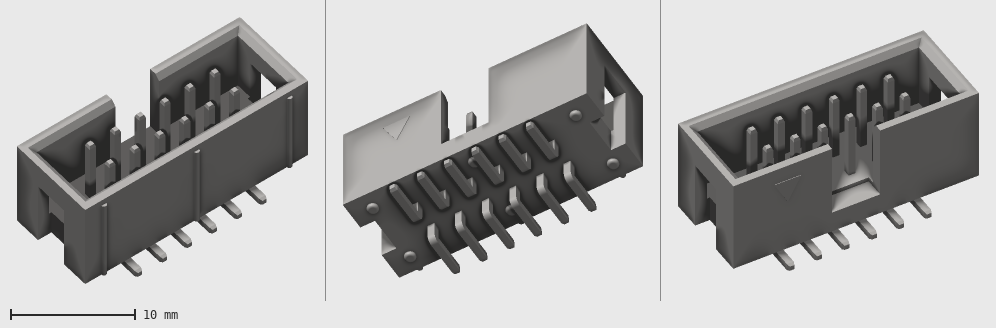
import cadquery as cq


length = 22.75
width = 8.85
height = 8.75
floor_top = 2.39
side_wall = 1.15
end_wall = 1.11

lead_in_depth = 0.48
side_rim = 0.68
end_rim = 0.6

end_slot_width = 3.35
end_slot_height = 6.37
end_slot_depth = 1.36
key_width = 4.45
key_bottom = 1.98
key_depth = 1.85

mark_width = 2.5
mark_height = 2.27
mark_top = height - 1.5
mark_relief = 0.05

support_spacing = 9.45
rib_radius = 0.25
rib_height = height - 0.61
standoff_x = 5.85 / 2
standoff_radius = 0.5
standoff_height = 0.35
standoff_rounding = 0.23

pin_rows = 6
row_span = 12.7
pitch = row_span / (pin_rows - 1)
pin_size = 0.64
pin_top = height - 0.35
foot_bottom = -1.86
foot_reach = 10.3 / 2
bend_radius = pin_size
tip_length = 0.3
tip_inset = 0.102


def box_between(x_range, y_range, z_range):
    """Axis-aligned box from its limits along X, Y and Z."""
    sizes = [high - low for low, high in (x_range, y_range, z_range)]
    corner = (x_range[0], y_range[0], z_range[0])
    return cq.Workplane("XY").box(*sizes, centered=False).translate(corner)


def make_housing():
    """Open-topped box with a sloped lead-in around its mouth."""
    body = cq.Workplane("XY").box(width, length, height, centered=(True, True, False))
    inner_width = width - 2 * side_wall
    inner_length = length - 2 * end_wall
    cavity = (
        cq.Workplane("XY", origin=(0, 0, floor_top))
        .rect(inner_width, inner_length)
        .extrude(height - floor_top)
    )
    lead_in = (
        cq.Workplane("XY", origin=(0, 0, height - lead_in_depth))
        .rect(inner_width, inner_length)
        .workplane(offset=lead_in_depth)
        .rect(width - 2 * side_rim, length - 2 * end_rim)
        .loft(ruled=True)
    )
    return body.cut(cavity).cut(lead_in)


def make_end_slot(end):
    """Slot through one end wall, also biting into the end of the floor."""
    y_limits = sorted((end * length / 2, end * (length / 2 - end_slot_depth)))
    return box_between((-end_slot_width / 2, end_slot_width / 2), y_limits, (0, end_slot_height))


def make_key_notch():
    """Polarizing notch through the -X wall, sunk a little into the floor."""
    return box_between(
        (-width / 2, -width / 2 + key_depth),
        (-key_width / 2, key_width / 2),
        (key_bottom, height),
    )


def make_pin_one_mark():
    """Raised triangle pointing down at the first pin row."""
    center_y = row_span / 2
    return (
        cq.Workplane("YZ", origin=(-width / 2, 0, 0))
        .moveTo(center_y - mark_width / 2, mark_top)
        .lineTo(center_y + mark_width / 2, mark_top)
        .lineTo(center_y, mark_top - mark_height)
        .close()
        .extrude(-mark_relief)
    )


def make_rib(y):
    """Half-round vertical rib on the +X side, its other half inside the wall."""
    return cq.Workplane("XY").center(width / 2, y).circle(rib_radius).extrude(rib_height)


def make_standoff(x, y):
    """Short round foot with a rounded lower edge."""
    return (
        cq.Workplane("XY")
        .center(x, y)
        .circle(standoff_radius)
        .extrude(-standoff_height)
        .faces("<Z")
        .edges()
        .fillet(standoff_rounding)
    )


def make_tip(plane):
    """Tapered square tip growing from the given plane."""
    tip_size = pin_size - 2 * tip_inset
    return (
        cq.Workplane(plane)
        .rect(pin_size, pin_size)
        .workplane(offset=tip_length)
        .rect(tip_size, tip_size)
        .loft(ruled=True)
    )


def make_pin():
    """Bent pin of the +X column, at Y = 0, with its foot pointing to +X."""
    inner_x = (pitch - pin_size) / 2
    outer_x = inner_x + pin_size
    foot_top = foot_bottom + pin_size
    foot_end = foot_reach - tip_length
    post_end = pin_top - tip_length
    stem = box_between((inner_x, outer_x), (-pin_size / 2, pin_size / 2), (foot_bottom, post_end))
    foot = box_between((inner_x, foot_end), (-pin_size / 2, pin_size / 2), (foot_bottom, foot_top))
    bent = stem.union(foot).edges("|Y and <X and <Z").fillet(bend_radius)
    post_plane = cq.Plane(origin=(pitch / 2, 0, post_end))
    foot_center_z = (foot_bottom + foot_top) / 2
    foot_plane = cq.Plane(origin=(foot_end, 0, foot_center_z), xDir=(0, 1, 0), normal=(1, 0, 0))
    return bent.union(make_tip(post_plane)).union(make_tip(foot_plane))


result = make_housing().cut(make_key_notch())
for end in (-1, 1):
    result = result.cut(make_end_slot(end))

result = result.union(make_pin_one_mark())

for y in (-support_spacing, 0, support_spacing):
    result = result.union(make_rib(y))
    for x in (-standoff_x, standoff_x):
        result = result.union(make_standoff(x, y))

right_pin = make_pin()
left_pin = right_pin.mirror("YZ")
for row in range(pin_rows):
    row_y = row * pitch - row_span / 2
    for pin in (left_pin, right_pin):
        result = result.union(pin.translate((0, row_y, 0)))